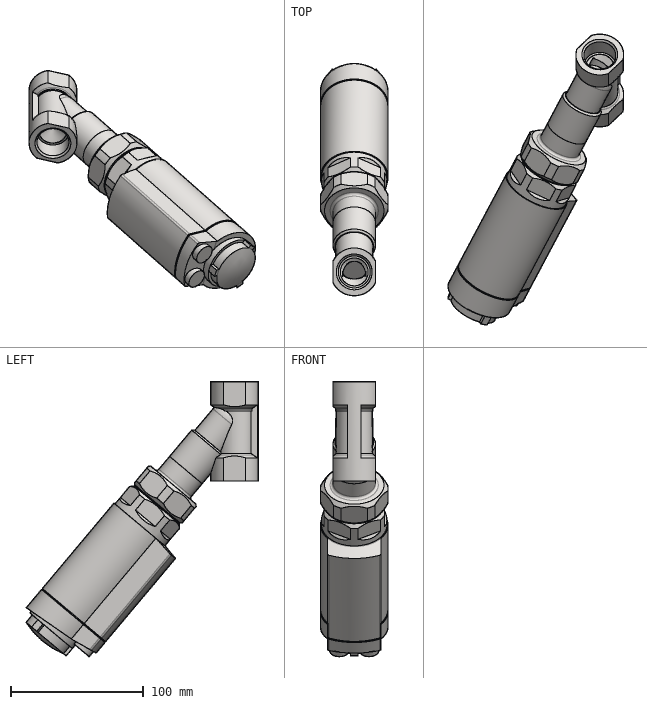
import cadquery as cq
import math

OVERALL_HEIGHT = 207.0
TILT = 40.0

PIPE_TOP = 23.0
PIPE_LENGTH = 75.0
COLLAR_RADIUS = 18.0
COLLAR_LENGTH = 17.5
COLLAR_FLATS = 32.0
NECK_DIAMETER = 27.1
NECK_RADIUS = NECK_DIAMETER / 2
NECK_CONE_LENGTH = 1.2
INLET_SHOULDER_DIAMETER = 28.0
INLET_SHOULDER_END = 0.8
COLLAR_CHAMFER_RADIUS = 15.0
COLLAR_CHAMFER_HEIGHT = 2.0
RIB_WIDTH = 10.4
ENTRY_DIAMETER = 27.0
THREAD_DIAMETER = 24.0
THREAD_DEPTH = 16.5
BORE_DIAMETER = 21.0
BORE_DEPTH = 17.0
DRILL_POINT_ANGLE = 118.0
SEAT_DIAMETER = 18.0
SEAT_DEPTH = 1.7
SEAT_HEIGHT = 7.2

BRANCH_DIAMETER = 32.0
BRANCH_RADIUS = BRANCH_DIAMETER / 2
BRANCH_END = 57.0
BRANCH_STEP = 29.6
BRANCH_CHAMFER = 1.5
TIP_RADIUS = 14.0
TIP_CENTRE_DEPTH = 8.5

BONNET_HEX_TOP = 71.6
BONNET_HEX_BOTTOM = 90.3
BONNET_HEX_FLATS = 47.0
BONNET_FILLET = 2.0
BONNET_CHAMFER = 3.1
BONNET_END = 91.1

HOUSING_RADIUS = 25.5
HOUSING_SHOULDER = 110.8
HOUSING_END = 194.6
HEX_SIDES = 6
HOUSING_HEX_RADIUS = 24.6
HOUSING_HEX_FLATS = 45.3
HOUSING_HEX_FLOOR = 104.4
HOUSING_HEX_CHAMFER = 2.5
LUG_WIDTH = 40.2
LUG_REACH = 36.9
LUG_FACE_RADIUS = 47.6
LUG_CORNER_FILLET = 1.7
LUG_TOP_DROP = 2.0

CAP_LIP_LENGTH = 0.8
CAP_LIP_INSET = 0.5
CAP_BACK_DEPTH = 213.5
CAP_RIDGE_DEPTH = 209.5
CAP_RIDGE_REACH = 16.5
CAP_FRONT_DEPTH = 205.8
BOSS_DIAMETER = 15.0
BOSS_SPACING = 22.4
BOSS_REACH = 27.1
BOSS_END = (
    OVERALL_HEIGHT - PIPE_TOP - (BOSS_REACH + BOSS_DIAMETER / 2) * math.sin(math.radians(TILT))
) / math.cos(math.radians(TILT))

KNOB_TOP = 203.0
KNOB_RIM_RADIUS = 21.0
KNOB_RIM_END = 214.7
KNOB_DIAMETER = 37.0
KNOB_RADIUS = KNOB_DIAMETER / 2
KNOB_END = 222.0
KNOB_DOME_HEIGHT = 3.0
KNOB_LUG_COUNT = 3
KNOB_LUG_WIDTH = 5.8


def tilt(solid):
    """Swing an upright solid about X so that it lies on the actuator axis."""
    return solid.rotate((0, 0, 0), (1, 0, 0), TILT)


def cylinder(radius, top_depth, bottom_depth):
    """Upright cylinder between two depths."""
    return cq.Workplane("XY", origin=(0, 0, -bottom_depth)).circle(radius).extrude(bottom_depth - top_depth)


def revolve_profile(points):
    """Solid of revolution about Z from (radius, z) points."""
    return cq.Workplane("XZ").polyline(points).close().revolve(360, (0, 0, 0), (0, 1, 0))


def hexagon(flats, top_depth, bottom_depth):
    """Hexagonal prism with the given width across flats and corners on the X axis."""
    across_corners = flats / math.cos(math.pi / HEX_SIDES)
    base = cq.Workplane("XY", origin=(0, 0, -bottom_depth)).polygon(HEX_SIDES, across_corners)
    return base.extrude(bottom_depth - top_depth)


def pipe_socket():
    """Threaded socket cut from the top end of the pipe, ending in a drill point."""
    entry = ENTRY_DIAMETER / 2
    thread = THREAD_DIAMETER / 2
    bore = BORE_DIAMETER / 2
    point_height = bore / math.tan(math.radians(DRILL_POINT_ANGLE / 2))
    return revolve_profile([
        (0, PIPE_TOP),
        (entry, PIPE_TOP),
        (thread, PIPE_TOP - (entry - thread)),
        (thread, PIPE_TOP - THREAD_DEPTH),
        (bore, PIPE_TOP - THREAD_DEPTH),
        (bore, PIPE_TOP - BORE_DEPTH),
        (0, PIPE_TOP - BORE_DEPTH - point_height),
    ])


def to_other_end(solid):
    """Mirror a feature of the top pipe end onto the bottom end."""
    return solid.mirror("XY", (0, 0, PIPE_TOP - PIPE_LENGTH / 2))


def collar():
    """Top collar of the pipe with two wrench flats and a chamfered underside."""
    underside = PIPE_TOP - COLLAR_LENGTH
    chamfer_end = underside - COLLAR_CHAMFER_HEIGHT
    cone_end = chamfer_end - NECK_CONE_LENGTH
    ring = revolve_profile([
        (0, PIPE_TOP),
        (COLLAR_RADIUS, PIPE_TOP),
        (COLLAR_RADIUS, underside),
        (COLLAR_CHAMFER_RADIUS, chamfer_end),
        (NECK_RADIUS, cone_end),
        (0, cone_end),
    ])
    flats = cq.Workplane("XY").box(COLLAR_FLATS, 3 * COLLAR_RADIUS, 4 * COLLAR_LENGTH)
    return ring.intersect(flats)


def pipe():
    """Straight pipe with a collar at each end and a rib along its front."""
    pipe_bottom = PIPE_TOP - PIPE_LENGTH
    neck = cylinder(NECK_RADIUS, -PIPE_TOP, -pipe_bottom)
    rib_slab = (
        cq.Workplane("XY", origin=(0, 0, pipe_bottom))
        .center(0, -COLLAR_RADIUS / 2)
        .rect(RIB_WIDTH, COLLAR_RADIUS)
        .extrude(PIPE_LENGTH)
    )
    rib = cylinder(COLLAR_RADIUS, -PIPE_TOP, -pipe_bottom).intersect(rib_slab)
    shoulder = cylinder(INLET_SHOULDER_DIAMETER / 2, -PIPE_TOP, -INLET_SHOULDER_END)
    return neck.union(shoulder).union(rib).union(collar()).union(to_other_end(collar()))


def branch():
    """Inclined branch with a chamfered step and a spherical tip."""
    tip = cylinder(TIP_RADIUS, TIP_CENTRE_DEPTH, BRANCH_END)
    dome = cq.Workplane("XY").sphere(TIP_RADIUS).translate((0, 0, -TIP_CENTRE_DEPTH))
    tube = cylinder(BRANCH_RADIUS, BRANCH_STEP, BRANCH_END).faces(">Z").chamfer(BRANCH_CHAMFER)
    return tilt(tip.union(dome).union(tube))


def valve_body():
    """Pipe and branch in one piece, with both sockets and the inclined seat cut out."""
    seat = tilt(cylinder(SEAT_DIAMETER / 2, SEAT_DEPTH - SEAT_HEIGHT, SEAT_DEPTH))
    return pipe().union(branch()).cut(pipe_socket()).cut(to_other_end(pipe_socket())).cut(seat)


def bonnet():
    """Tube that butts on the branch, with a chamfered hexagon and a fillet at its root."""
    blank = (
        cylinder(HOUSING_RADIUS, BONNET_HEX_TOP, BONNET_HEX_BOTTOM)
        .faces("<Z or >Z")
        .chamfer(BONNET_CHAMFER)
    )
    nut = blank.intersect(hexagon(BONNET_HEX_FLATS, BONNET_HEX_TOP, BONNET_HEX_BOTTOM))
    fillet_top = -BONNET_HEX_TOP + BONNET_FILLET
    bend = BONNET_FILLET * math.sqrt(0.5)
    tube = (
        cq.Workplane("XZ")
        .moveTo(0, -BRANCH_END)
        .lineTo(BRANCH_RADIUS, -BRANCH_END)
        .lineTo(BRANCH_RADIUS, fillet_top)
        .threePointArc(
            (BRANCH_RADIUS + BONNET_FILLET - bend, fillet_top - bend),
            (BRANCH_RADIUS + BONNET_FILLET, -BONNET_HEX_TOP),
        )
        .lineTo(BRANCH_RADIUS + BONNET_FILLET, -BONNET_END)
        .lineTo(0, -BONNET_END)
        .close()
        .revolve(360, (0, 0, 0), (0, 1, 0))
    )
    return tilt(nut.union(tube))


def lug_outline(inset=0.0):
    """Plan outline of the lug, on the front (-Y) side of the housing."""
    half = LUG_WIDTH / 2 - inset
    reach = LUG_REACH - inset
    face = LUG_FACE_RADIUS
    corner = reach - face + math.sqrt(face**2 - half**2)
    return (
        cq.Workplane("XY")
        .moveTo(-half, 0)
        .lineTo(-half, -corner)
        .threePointArc((0, -reach), (half, -corner))
        .lineTo(half, 0)
        .close()
    )


def actuator_column(top_depth, bottom_depth, inset=0.0):
    """Round column with the flat-sided lug on its front."""
    length = bottom_depth - top_depth
    lug = lug_outline(inset).extrude(length).edges("|Z").edges("<Y").fillet(LUG_CORNER_FILLET)
    lug = lug.translate((0, 0, -bottom_depth))
    return cylinder(HOUSING_RADIUS - inset, top_depth, bottom_depth).union(lug)


def housing_hex():
    """Round neck with six wrench flats, each ending in a floor that slopes at 45 degrees."""
    neck = (
        cylinder(HOUSING_HEX_RADIUS, BONNET_END, HOUSING_SHOULDER)
        .faces(">Z")
        .chamfer(HOUSING_HEX_CHAMFER)
    )
    apothem = HOUSING_HEX_FLATS / 2
    floor_rise = HOUSING_HEX_RADIUS
    flat_cut = (
        cq.Workplane("XZ")
        .polyline([
            (apothem, 0),
            (apothem, -HOUSING_HEX_FLOOR),
            (apothem + floor_rise, -HOUSING_HEX_FLOOR - floor_rise),
            (apothem + floor_rise, 0),
        ])
        .close()
        .extrude(HOUSING_HEX_RADIUS, both=True)
    )
    for index in range(HEX_SIDES):
        neck = neck.cut(flat_cut.rotate((0, 0, 0), (0, 0, 1), 360 / HEX_SIDES * index))
    return neck


def housing():
    """Column with a conical top, carrying the hexagonal neck."""
    slope = LUG_TOP_DROP / (LUG_REACH - HOUSING_RADIUS)
    outside = 2 * LUG_REACH
    envelope = revolve_profile([
        (0, -HOUSING_SHOULDER),
        (HOUSING_RADIUS, -HOUSING_SHOULDER),
        (outside, -HOUSING_SHOULDER - slope * (outside - HOUSING_RADIUS)),
        (outside, -HOUSING_END),
        (0, -HOUSING_END),
    ])
    column = actuator_column(HOUSING_SHOULDER, HOUSING_END).intersect(envelope)
    return tilt(column.union(housing_hex()))


def cap():
    """End of the column: recessed lip, double-sloped end, two bosses and the knob recess."""
    lip = actuator_column(HOUSING_END, HOUSING_END + CAP_LIP_LENGTH, CAP_LIP_INSET)
    column = actuator_column(HOUSING_END + CAP_LIP_LENGTH, CAP_BACK_DEPTH)
    double_slope = (
        cq.Workplane("YZ")
        .polyline([
            (-LUG_REACH, 0),
            (HOUSING_RADIUS, 0),
            (HOUSING_RADIUS, -CAP_BACK_DEPTH),
            (-CAP_RIDGE_REACH, -CAP_RIDGE_DEPTH),
            (-LUG_REACH, -CAP_FRONT_DEPTH),
        ])
        .close()
        .extrude(LUG_REACH, both=True)
    )
    solid = lip.union(column.intersect(double_slope))
    for side in (-1, 1):
        boss = cylinder(BOSS_DIAMETER / 2, HOUSING_END + CAP_LIP_LENGTH, BOSS_END)
        solid = solid.union(boss.translate((side * BOSS_SPACING / 2, -BOSS_REACH, 0)))
    knob_recess = cylinder(KNOB_RIM_RADIUS, KNOB_TOP, KNOB_END)
    return tilt(solid.cut(knob_recess))


def knob_lug():
    """Radial lug under the knob rim, on the front side."""
    return (
        cq.Workplane("XY", origin=(0, -KNOB_RIM_RADIUS / 2, -KNOB_END))
        .rect(KNOB_LUG_WIDTH, KNOB_RIM_RADIUS)
        .extrude(KNOB_END - KNOB_RIM_END)
    )


def knob():
    """Domed knob with a wide rim that fills the cap recess and lugs spaced around it."""
    dome_bottom = -KNOB_END - KNOB_DOME_HEIGHT
    dome_radius = (KNOB_RADIUS**2 + KNOB_DOME_HEIGHT**2) / (2 * KNOB_DOME_HEIGHT)
    mid_radius = KNOB_RADIUS / 2
    mid_z = dome_bottom + dome_radius - math.sqrt(dome_radius**2 - mid_radius**2)
    solid = (
        cq.Workplane("XZ")
        .moveTo(0, -KNOB_TOP)
        .lineTo(KNOB_RIM_RADIUS, -KNOB_TOP)
        .lineTo(KNOB_RIM_RADIUS, -KNOB_RIM_END)
        .lineTo(KNOB_RADIUS, -KNOB_RIM_END)
        .lineTo(KNOB_RADIUS, -KNOB_END)
        .threePointArc((mid_radius, mid_z), (0, dome_bottom))
        .close()
        .revolve(360, (0, 0, 0), (0, 1, 0))
    )
    for index in range(KNOB_LUG_COUNT):
        lug = knob_lug().rotate((0, 0, 0), (0, 0, 1), 360 / KNOB_LUG_COUNT * index)
        solid = solid.union(lug)
    return tilt(solid)


result = cq.Compound.makeCompound([
    valve_body().val(),
    bonnet().val(),
    housing().val(),
    cap().val(),
    knob().val(),
])